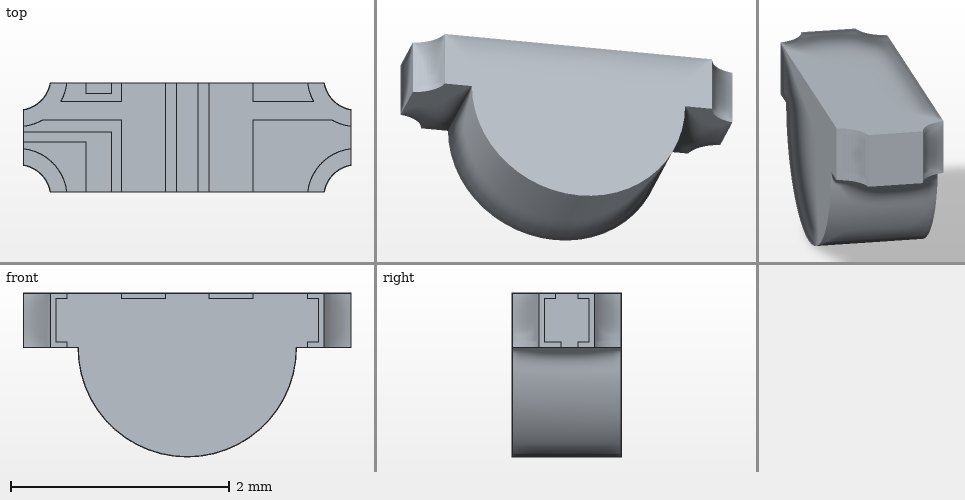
import cadquery as cq

LENGTH = 3.0
WIDTH = LENGTH / 3
SLAB_HEIGHT = LENGTH / 6
LENS_RADIUS = LENGTH / 3

AXIS_OFFSET = LENGTH / 60
NOTCH_RADIUS = LENGTH / 10
PLATING = LENGTH / 60
FLANGE_RADIUS = NOTCH_RADIUS + 3 * PLATING

PAD_OUTER_X = LENGTH / 5
PAD_INNER_X = LENGTH / 15
TRACE_NEAR_Y = 0.162
TRACE_FAR_Y = 0.33
TRACE_WIDTH = TRACE_FAR_Y - TRACE_NEAR_Y

UNDER_TRACE_EDGE_Y = -0.05

MARK_DEPTH = 0.003
DIVIDER_WIDTH = LENGTH / 15
MARK_LEFT_X = -0.927
MARK_RIGHT_X = -0.693
MARK_LEG_TOP_Y = 0.05
MARK_LEG_BOTTOM_Y = -0.04
MARK_TAB_Y = 0.402

HALF_LENGTH = LENGTH / 2
HALF_WIDTH = WIDTH / 2


def block(x_range, y_range, z_range):
    """Box spanning the given (low, high) range along each axis."""
    sides = [high - low for low, high in (x_range, y_range, z_range)]
    low_corner = (x_range[0], y_range[0], z_range[0])
    return cq.Workplane("XY").box(*sides, centered=False).translate(low_corner)


def corner_cylinder(side_x, side_y, radius, bottom, top):
    """Upright cylinder about the notch axis of one corner."""
    center_x = side_x * (HALF_LENGTH + AXIS_OFFSET)
    center_y = side_y * (HALF_WIDTH + AXIS_OFFSET)
    return (
        cq.Workplane("XY", origin=(center_x, center_y, bottom))
        .circle(radius)
        .extrude(top - bottom)
    )


def x_span(side_x, inner, outer):
    """Range between two distances from the middle, on one side of it."""
    return tuple(sorted((side_x * inner, side_x * outer)))


SLAB = block((-HALF_LENGTH, HALF_LENGTH), (-HALF_WIDTH, HALF_WIDTH), (-SLAB_HEIGHT, 0))


def make_corner_plating(side_x, side_y):
    """Notch wall plating with a flange at each end, before the notch is cut."""
    wall = corner_cylinder(side_x, side_y, NOTCH_RADIUS + PLATING, -SLAB_HEIGHT, 0)
    top_flange = corner_cylinder(side_x, side_y, FLANGE_RADIUS, -PLATING, 0)
    bottom_flange = corner_cylinder(
        side_x, side_y, FLANGE_RADIUS, -SLAB_HEIGHT, PLATING - SLAB_HEIGHT
    )
    return wall.union(top_flange).union(bottom_flange)


def trim_to_slab(metal, side_x, side_y):
    """Keep the metal inside the slab outline and open the corner notch."""
    notch = corner_cylinder(side_x, side_y, NOTCH_RADIUS, -SLAB_HEIGHT, 0)
    return metal.intersect(SLAB).cut(notch)


def make_pad_terminal(side_x):
    """Rear corner plating joined by a trace to a mounting pad."""
    pad = block(
        x_span(side_x, PAD_INNER_X, PAD_OUTER_X), (-HALF_WIDTH, HALF_WIDTH), (-PLATING, 0)
    )
    trace = block(
        x_span(side_x, PAD_INNER_X, HALF_LENGTH), (TRACE_NEAR_Y, TRACE_FAR_Y), (-PLATING, 0)
    )
    metal = make_corner_plating(side_x, 1).union(pad).union(trace)
    return trim_to_slab(metal, side_x, 1)


def make_corner_terminal(side_x):
    """Front corner plating with a trace along the underside of the slab."""
    trace = block(
        x_span(side_x, LENS_RADIUS, HALF_LENGTH),
        (UNDER_TRACE_EDGE_Y - TRACE_WIDTH, UNDER_TRACE_EDGE_Y),
        (-SLAB_HEIGHT, PLATING - SLAB_HEIGHT),
    )
    metal = make_corner_plating(side_x, -1).union(trace)
    return trim_to_slab(metal, side_x, -1)


def make_divider_mark():
    """Strip across the face, midway between the pads."""
    half = DIVIDER_WIDTH / 2
    return block((-half, half), (-HALF_WIDTH, HALF_WIDTH), (-MARK_DEPTH, 0))


def make_polarity_mark():
    """L-shaped mark running to the left end and to the front side."""
    leg = block(
        (-HALF_LENGTH, MARK_RIGHT_X), (MARK_LEG_BOTTOM_Y, MARK_LEG_TOP_Y), (-MARK_DEPTH, 0)
    )
    stem = block((MARK_LEFT_X, MARK_RIGHT_X), (-HALF_WIDTH, MARK_LEG_TOP_Y), (-MARK_DEPTH, 0))
    return leg.union(stem)


def make_polarity_tab():
    """Small mark at the rear side, in line with the stem of the polarity mark."""
    return block((MARK_LEFT_X, MARK_RIGHT_X), (MARK_TAB_Y, HALF_WIDTH), (-MARK_DEPTH, 0))


def make_housing(inserts):
    """Slab with a half-cylinder lens below, recessed for the other bodies."""
    lens = (
        cq.Workplane("XZ", origin=(0, HALF_WIDTH, -SLAB_HEIGHT))
        .moveTo(-LENS_RADIUS, 0)
        .threePointArc((0, -LENS_RADIUS), (LENS_RADIUS, 0))
        .close()
        .extrude(WIDTH)
    )
    housing = SLAB.union(lens)
    for side_x in (-1, 1):
        for side_y in (-1, 1):
            notch = corner_cylinder(side_x, side_y, NOTCH_RADIUS, -SLAB_HEIGHT, 0)
            housing = housing.cut(notch)
    for insert in inserts:
        housing = housing.cut(insert)
    return housing


pad_terminals = [make_pad_terminal(side_x) for side_x in (-1, 1)]
corner_terminals = [make_corner_terminal(side_x) for side_x in (-1, 1)]
divider_mark = make_divider_mark()
polarity_mark = make_polarity_mark()
polarity_tab = make_polarity_tab()

inserts = [*pad_terminals, *corner_terminals, divider_mark, polarity_mark, polarity_tab]
housing = make_housing(inserts)

result = cq.Compound.makeCompound([housing.val(), *[insert.val() for insert in inserts]])